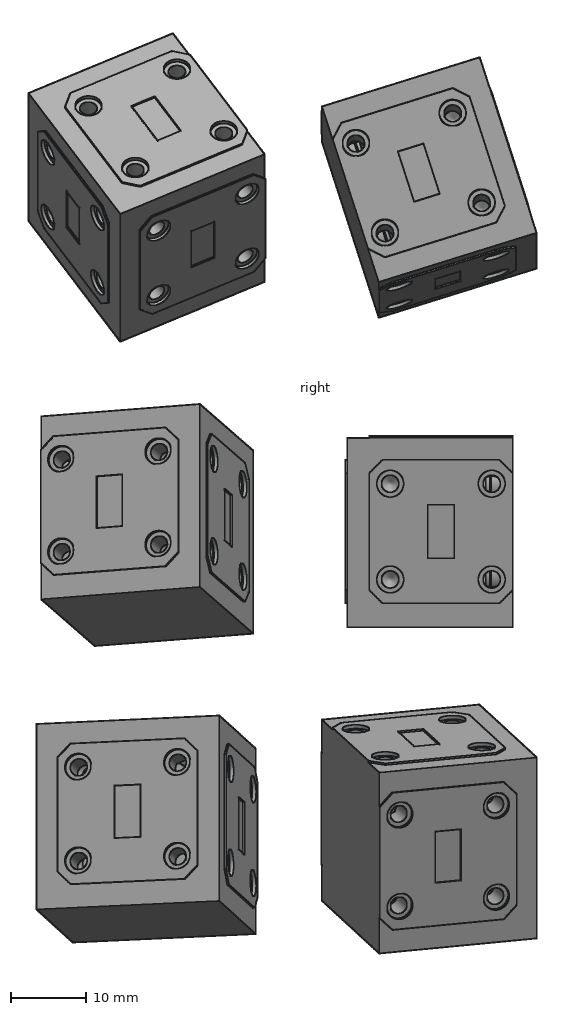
import cadquery as cq
import math

body_width = 24.9
body_depth = 21.97
body_height = 25.15
pad_height = 0.25

pad_size = 19.05
pad_corner = 1.78
port_level = 12.7

window_long = 7.1
window_short = 3.55
window_depth = 0.25
hole_pitch_short_way = 13.45
hole_pitch_long_way = 12.7
hole_diameter = 2.29
hole_depth = 4.83
drill_tip_angle = 118
counterbore_diameter = 3.55
counterbore_depth = 0.5

cover_bolt_circle_radius = 8.38
shank_radius = 1.12
shank_end_y = -18.03
head_radius = 2.34
head_length = 3.55
head_groove_radius = 2.29
head_groove_y = -2.85
head_groove_width = 0.2

hole_radius = hole_diameter / 2
tip_length = hole_radius / math.tan(math.radians(drill_tip_angle / 2))
cover_bolt_offset = cover_bolt_circle_radius / math.sqrt(2)
port_y = -pad_size / 2


def port_plane(face_centre, long_axis, outward):
    """Plane on a block face: local Y runs along the window's long side."""
    long_side = cq.Vector(*long_axis)
    normal = cq.Vector(*outward)
    return cq.Plane(origin=face_centre, xDir=long_side.cross(normal), normal=normal)


def pad(plane):
    return (
        cq.Workplane(plane)
        .rect(pad_size, pad_size)
        .extrude(pad_height)
        .edges(cq.selectors.ParallelDirSelector(plane.zDir))
        .chamfer(pad_corner)
    )


def window_recess(plane):
    return (
        cq.Workplane(plane)
        .workplane(offset=pad_height)
        .rect(window_short, window_long)
        .extrude(-window_depth)
    )


def screw_holes(plane):
    """Four counterbored blind holes, each with a conical drill tip."""
    profile = [
        (0, pad_height),
        (counterbore_diameter / 2, pad_height),
        (counterbore_diameter / 2, pad_height - counterbore_depth),
        (hole_radius, pad_height - counterbore_depth),
        (hole_radius, pad_height - hole_depth),
        (0, pad_height - hole_depth - tip_length),
    ]
    drill = cq.Workplane("XZ").polyline(profile).close().revolve(360, (0, 0), (0, 1)).val()
    return (
        cq.Workplane(plane)
        .rarray(hole_pitch_short_way, hole_pitch_long_way, 2, 2)
        .eachpoint(drill, useLocalCoordinates=True)
    )


def cover_screw(x, z):
    """Screw pointing toward -Y: a head with a thin rim groove, then the shank."""
    groove_end_y = head_groove_y - head_groove_width
    profile = [
        (0, 0),
        (head_radius, 0),
        (head_radius, head_groove_y),
        (head_groove_radius, head_groove_y),
        (head_groove_radius, groove_end_y),
        (head_radius, groove_end_y),
        (head_radius, -head_length),
        (shank_radius, -head_length),
        (shank_radius, shank_end_y),
        (0, shank_end_y),
    ]
    screw = cq.Workplane("XY").polyline(profile).close().revolve(360, (0, 0), (0, 1))
    return screw.translate((x, 0, z))


port_planes = [
    port_plane((0, -body_depth, port_level), (0, 0, 1), (0, -1, 0)),
    port_plane((-body_width / 2, port_y, port_level), (0, 0, 1), (-1, 0, 0)),
    port_plane((body_width / 2, port_y, port_level), (0, 0, 1), (1, 0, 0)),
    port_plane((0, port_y, body_height), (1, 0, 0), (0, 0, 1)),
]

result = cq.Workplane("XY").box(body_width, body_depth, body_height, centered=(True, False, False))
result = result.translate((0, -body_depth, 0))
for plane in port_planes:
    result = result.union(pad(plane))
for plane in port_planes:
    result = result.cut(screw_holes(plane)).cut(window_recess(plane))
for x in (-cover_bolt_offset, cover_bolt_offset):
    for z_offset in (-cover_bolt_offset, cover_bolt_offset):
        result = result.union(cover_screw(x, port_level + z_offset))